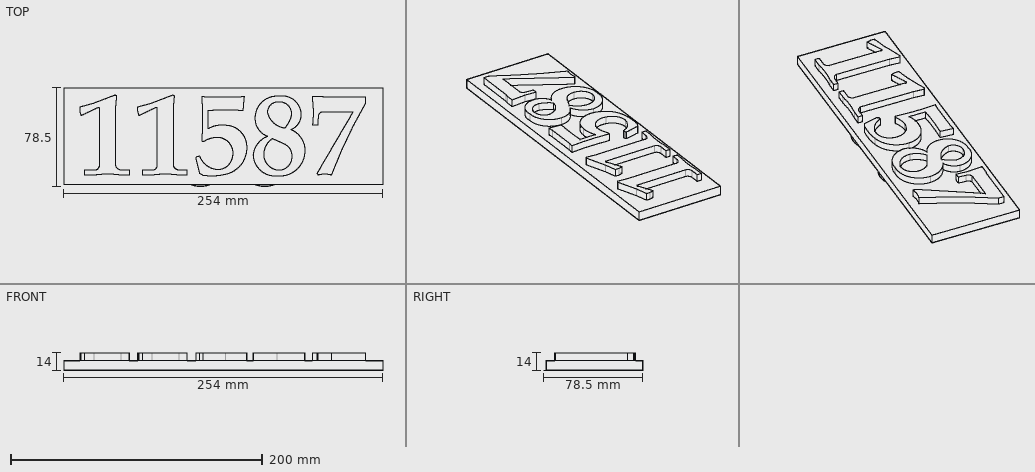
import cadquery as cq

PLATE_LENGTH = 254.0
PLATE_WIDTH = 77.0
TOTAL_HEIGHT = 14.0
DIGIT_HEIGHT = 6.0
SHEET_THICKNESS = 0.08
PLATE_TOP = TOTAL_HEIGHT - DIGIT_HEIGHT
PLATE_THICKNESS = PLATE_TOP - SHEET_THICKNESS

TAB_DEPTH = 1.5
TAB_WIDTH = 15.7
TAB_CENTRES = [108.7, 159.8]

BASELINE = 7.5
FIRST_ONE_LEFT = 12.7
ONE_PITCH = 46.0
FIVE_LEFT = 105.0
EIGHT_LEFT = 150.5
SEVEN_LEFT = 197.5


def make_sheet():
    sheet = cq.Workplane("XY").moveTo(0, 0)
    for centre in TAB_CENTRES:
        sheet = sheet.lineTo(centre - TAB_WIDTH / 2, 0)
        sheet = sheet.threePointArc((centre, -TAB_DEPTH), (centre + TAB_WIDTH / 2, 0))
    sheet = sheet.lineTo(PLATE_LENGTH, 0).lineTo(PLATE_LENGTH, PLATE_WIDTH).lineTo(0, PLATE_WIDTH)
    return sheet.close().extrude(SHEET_THICKNESS)


def make_plate():
    plate = cq.Workplane("XY", origin=(0, 0, SHEET_THICKNESS))
    return plate.rect(PLATE_LENGTH, PLATE_WIDTH, centered=False).extrude(PLATE_THICKNESS)


def digit_plane(left):
    """Plane on the plate's top, with its origin at a digit's left end on the baseline."""
    return cq.Workplane("XY", origin=(left, BASELINE, PLATE_TOP))


def make_one(left):
    return (
        digit_plane(left)
        .moveTo(3.8, 0)
        .lineTo(11.5, 0)
        .threePointArc((22.0, 0.8), (32.8, 0))
        .lineTo(39.4, 0)
        .lineTo(39.4, 3.8)
        .lineTo(33.8, 4.0)
        .threePointArc((30.0, 5.0), (28.5, 7.4))
        .lineTo(28.5, 53.8)
        .lineTo(29.2, 62.7)
        .threePointArc((28.7, 63.2), (27.7, 63.5))
        .lineTo(10.5, 57.0)
        .lineTo(0, 54.0)
        .lineTo(0, 50.8)
        .lineTo(1.0, 47.2)
        .lineTo(14.2, 53.5)
        .threePointArc((15.2, 53.5), (15.5, 52.5))
        .lineTo(15.5, 7.4)
        .threePointArc((14.2, 4.8), (11.2, 3.8))
        .lineTo(3.8, 3.8)
        .close()
        .extrude(DIGIT_HEIGHT)
    )


def make_five(left):
    return (
        digit_plane(left)
        .moveTo(4.8, 62.5)
        .lineTo(9.0, 62.0)
        .lineTo(33.8, 62.0)
        .lineTo(38.5, 62.5)
        .lineTo(37.5, 51.3)
        .threePointArc((24.1, 51.8), (10.0, 51.3))
        .lineTo(10.0, 36.8)
        .threePointArc((16.5, 39.4), (23.5, 39.5))
        .threePointArc((36.0, 34.0), (40.6, 22.5))
        .threePointArc((35.3, 7.4), (23.5, 0.5))
        .threePointArc((14.7, -0.8), (5.8, -0.3))
        .lineTo(3.0, 1.3)
        .lineTo(0, 13.7)
        .lineTo(1.0, 14.7)
        .lineTo(3.0, 15.0)
        .threePointArc((9.0, 7.4), (16.5, 4.3))
        .threePointArc((25.1, 7.0), (29.2, 14.5))
        .threePointArc((27.5, 24.5), (16.5, 30.0))
        .threePointArc((11.2, 29.0), (6.4, 26.7))
        .lineTo(4.8, 27.0)
        .threePointArc((5.5, 44.7), (4.8, 62.5))
        .close()
        .extrude(DIGIT_HEIGHT)
    )


def make_eight(left):
    plane = digit_plane(left)
    body = (
        plane
        .moveTo(20.3, 62.7)
        .threePointArc((33.8, 58.5), (38.0, 47.5))
        .threePointArc((35.5, 40.5), (30.0, 36.0))
        .threePointArc((38.4, 29.2), (41.1, 20.0))
        .threePointArc((34.5, 4.3), (19.0, -0.8))
        .threePointArc((4.5, 4.8), (0, 15.7))
        .threePointArc((3.3, 24.6), (11.5, 30.7))
        .threePointArc((3.8, 36.8), (1.5, 45.0))
        .threePointArc((7.0, 58.2), (20.3, 62.7))
        .close()
        .extrude(DIGIT_HEIGHT)
    )
    upper_opening = (
        plane.moveTo(25.1, 37.3)
        .threePointArc((16.5, 41.1), (11.5, 49.5))
        .threePointArc((14.0, 56.0), (20.3, 58.2))
        .threePointArc((27.7, 55.4), (30.5, 47.8))
        .threePointArc((28.5, 42.2), (25.1, 37.3))
        .close()
        .extrude(DIGIT_HEIGHT)
    )
    lower_opening = (
        plane.moveTo(15.2, 29.0)
        .lineTo(25.0, 24.6)
        .threePointArc((29.5, 20.3), (30.7, 14.2))
        .threePointArc((27.7, 6.9), (20.3, 3.8))
        .threePointArc((11.7, 8.0), (8.5, 17.3))
        .threePointArc((10.7, 24.1), (15.2, 29.0))
        .close()
        .extrude(DIGIT_HEIGHT)
    )
    return body.cut(upper_opening).cut(lower_opening)


def make_seven(left):
    return (
        digit_plane(left)
        .moveTo(0, 62.5)
        .lineTo(7.0, 62.5)
        .lineTo(10.2, 62.0)
        .lineTo(42.5, 62.0)
        .lineTo(42.5, 57.2)
        .threePointArc((27.7, 29.2), (15.2, 0))
        .threePointArc((10.0, 0.8), (4.5, 0))
        .lineTo(3.8, 1.3)
        .lineTo(32.5, 50.3)
        .lineTo(7.5, 50.3)
        .threePointArc((5.5, 48.8), (4.8, 46.2))
        .lineTo(4.3, 39.5)
        .lineTo(0.3, 39.5)
        .lineTo(1.0, 49.5)
        .close()
        .extrude(DIGIT_HEIGHT)
    )


sheet = make_sheet()
plate = make_plate()
ones = [make_one(FIRST_ONE_LEFT + ONE_PITCH * index) for index in range(2)]
five = make_five(FIVE_LEFT)
eight = make_eight(EIGHT_LEFT)
seven = make_seven(SEVEN_LEFT)

result = cq.Compound.makeCompound(
    [
        sheet.val(),
        plate.val(),
        *[one.val() for one in ones],
        five.val(),
        eight.val(),
        seven.val(),
    ]
)